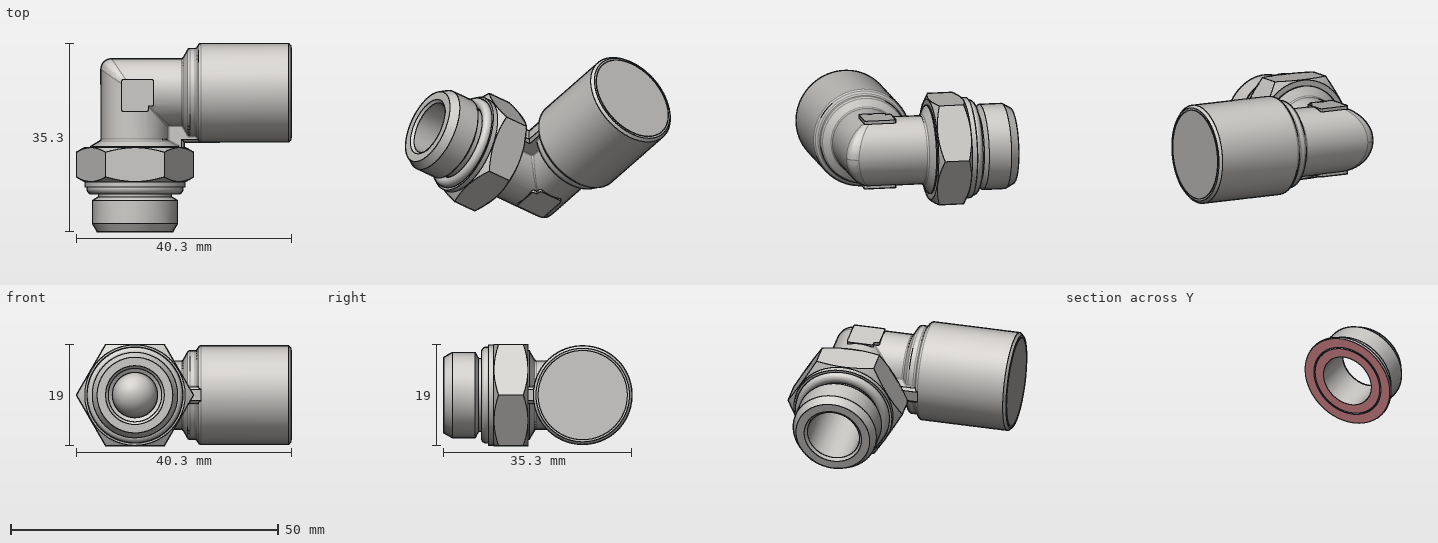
import cadquery as cq
import math


FACE_ANGLE = math.radians(30)

LEG_R = 6.4
FLARE_R = 8.3
FLARE_START = 8.9
FLARE_END = FLARE_START + (FLARE_R - LEG_R) * math.tan(FACE_ANGLE)
FLARE_FOOT_FILLET = 0.4
OUTER_CORNER_FILLET = 2.0
INNER_CORNER_FILLET = 0.3

SLEEVE_R = 9.25
SLEEVE_START = 12.05
SHOULDER_START = SLEEVE_START - (SLEEVE_R - FLARE_R) * math.tan(FACE_ANGLE)
SHOULDER_FILLET = 0.5
SLEEVE_CHAMFER = 0.5
LIP_R = 8.35
LIP_HEIGHT = 0.08
SOCKET_REACH = 29.3
SLEEVE_END = SOCKET_REACH - LIP_HEIGHT

HEX_FLATS = 19.0
HEX_CORNERS = HEX_FLATS / math.cos(math.pi / 6)
HEX_START = 10.2
HEX_END = 16.65
HEX_CHAMFER_R = 9.4

COLLAR_R = 9.4
COLLAR_END = 17.65
RING_SECTION_R = 1.0
RING_R = 8.0
RING_REACH = 17.97
NECK_R = 6.85
NECK_END = 19.45
THREAD_R = 8.0
THREAD_START = 20.15
LEAD_IN_LENGTH = 1.6
LEAD_IN_R = THREAD_R - LEAD_IN_LENGTH * math.tan(FACE_ANGLE)
STUD_REACH = 26.0

BORE_R = 5.0
BORE_CHAMFER = 0.5
BALL_R = 4.25
SEAT_REACH = HEX_START
SEAT_DEPTH = (BORE_R - BALL_R) * math.tan(FACE_ANGLE)

PAD_HALF_WIDTH = 2.5
PAD_LENGTH = 6.0
PAD_Z = 6.5
PAD_CORNER_R = 0.4
PAD_CORE = 4.0

WEB_HALF_THICKNESS = 1.55
WEB_CHAMFER = 0.5
WEB_FOOT_FILLET = 0.15
WEB_ROOT = (LEG_R + BORE_R) / 2
WEB_HEX_END = HEX_START + 1.0
WEB_END = SLEEVE_START + SHOULDER_FILLET * math.tan(FACE_ANGLE)


def turned(profile, rounds, axis):
    """Solid of revolution about an axis through the origin; rounds lists (corner, radius) pairs."""
    sketch = cq.Sketch().polygon(profile + profile[:1])
    for (x, y), radius in rounds:
        sketch = sketch.vertices(cq.NearestToPointSelector((x, y, 0))).fillet(radius).reset()
    return cq.Workplane("XY").placeSketch(sketch).revolve(360, (0, 0, 0), axis)


def socket_leg():
    """Leg, flare and sleeve turned about the X axis."""
    profile = [
        (-LEG_R, 0),
        (-LEG_R, LEG_R),
        (FLARE_START, LEG_R),
        (FLARE_END, FLARE_R),
        (SHOULDER_START, FLARE_R),
        (SLEEVE_START, SLEEVE_R),
        (SLEEVE_END - SLEEVE_CHAMFER, SLEEVE_R),
        (SLEEVE_END, SLEEVE_R - SLEEVE_CHAMFER),
        (SLEEVE_END, LIP_R),
        (SOCKET_REACH, LIP_R),
        (SOCKET_REACH, 0),
    ]
    rounds = [
        ((FLARE_START, LEG_R), FLARE_FOOT_FILLET),
        ((FLARE_END, FLARE_R), SHOULDER_FILLET),
        ((SHOULDER_START, FLARE_R), SHOULDER_FILLET),
        ((SLEEVE_START, SLEEVE_R), SHOULDER_FILLET),
    ]
    return turned(profile, rounds, (1, 0, 0))


def stud_leg():
    """Leg, flare, collar, neck and thread turned about the Y axis, with the hexagon and ring."""
    profile = [
        (0, LEG_R),
        (LEG_R, LEG_R),
        (LEG_R, -FLARE_START),
        (FLARE_R, -FLARE_END),
        (FLARE_R, -HEX_END),
        (COLLAR_R, -HEX_END),
        (COLLAR_R, -COLLAR_END),
        (NECK_R, -COLLAR_END),
        (NECK_R, -NECK_END),
        (THREAD_R, -THREAD_START),
        (THREAD_R, LEAD_IN_LENGTH - STUD_REACH),
        (LEAD_IN_R, -STUD_REACH),
        (0, -STUD_REACH),
    ]
    leg = turned(profile, [((LEG_R, -FLARE_START), FLARE_FOOT_FILLET)], (0, 1, 0))
    return leg.union(hexagon()).union(sealing_ring())


def hexagon():
    """Hexagon with corners on the X axis, both ends chamfered by a cone."""
    length = HEX_END - HEX_START
    prism = cq.Workplane("XZ", origin=(0, -HEX_START, 0)).polygon(6, HEX_CORNERS).extrude(length)
    corner_r = HEX_CORNERS / 2
    drop = (corner_r - HEX_CHAMFER_R) * math.tan(FACE_ANGLE)
    envelope_profile = [
        (0, -HEX_START),
        (HEX_CHAMFER_R, -HEX_START),
        (corner_r, -HEX_START - drop),
        (corner_r, -HEX_END + drop),
        (HEX_CHAMFER_R, -HEX_END),
        (0, -HEX_END),
    ]
    envelope = turned(envelope_profile, [], (0, 1, 0))
    return prism.intersect(envelope)


def sealing_ring():
    """Round-section ring seated against the collar."""
    plane = cq.Plane(origin=(RING_R, -RING_REACH, 0), xDir=(-1, 0, 0), normal=(0, 0, 1))
    section = cq.Workplane(plane).circle(RING_SECTION_R)
    return section.revolve(360, (RING_R, 0, 0), (RING_R, 1, 0))


def box_selector(low, high):
    """Selector for edges lying wholly inside a box that is grown by a small margin."""
    margin = 0.01
    grown_low = tuple(value - margin for value in low)
    grown_high = tuple(value + margin for value in high)
    return cq.selectors.BoxSelector(grown_low, grown_high, boundingbox=True)


def mitre_side(sign):
    """Half space on one side of the diagonal mitre plane: +1 holds the socket, -1 the stud."""
    size = 2 * SOCKET_REACH
    corners = [(-size, size), (size, -size), (sign * size, sign * size)]
    return cq.Workplane("XY").polyline(corners).close().extrude(size, both=True)


def pads():
    """Through block whose flat ends stand proud of the elbow, L-shaped at the inside corner."""
    long_side = PAD_LENGTH - PAD_HALF_WIDTH
    shift = (long_side - PAD_HALF_WIDTH) / 2
    width = 2 * PAD_HALF_WIDTH
    block = cq.Workplane("XY").center(shift, 0).rect(PAD_LENGTH, width).extrude(PAD_Z, both=True)
    block = block.edges("|Z").fillet(PAD_CORNER_R)
    other = cq.Workplane("XY").center(0, -shift).rect(width, PAD_LENGTH).extrude(PAD_Z, both=True)
    other = other.edges("|Z").fillet(PAD_CORNER_R)
    return block.union(other)


def web():
    """Stiffening web in the inside corner, chamfered along its two free sides."""
    outline = [
        (WEB_ROOT, -WEB_ROOT),
        (WEB_ROOT, -WEB_HEX_END),
        (SLEEVE_R, -WEB_HEX_END),
        (SLEEVE_R, -SLEEVE_R),
        (WEB_END, -SLEEVE_R),
        (WEB_END, -WEB_ROOT),
    ]
    plate = cq.Workplane("XY").polyline(outline).close().extrude(WEB_HALF_THICKNESS, both=True)
    low = (SLEEVE_R, -WEB_HEX_END, -WEB_HALF_THICKNESS)
    high = (WEB_END, -SLEEVE_R, WEB_HALF_THICKNESS)
    free_sides = box_selector(low, high)
    return plate.edges(free_sides).edges("#Z").chamfer(WEB_CHAMFER)


def stud_bore():
    """Blind bore with a chamfered mouth; its end is a seat cone around a domed ball."""
    profile = [
        (0, -SEAT_REACH),
        (BALL_R, -SEAT_REACH),
        (BORE_R, -SEAT_REACH - SEAT_DEPTH),
        (BORE_R, BORE_CHAMFER - STUD_REACH),
        (BORE_R + BORE_CHAMFER, -STUD_REACH),
        (0, -STUD_REACH),
    ]
    hole = turned(profile, [], (0, 1, 0))
    ball = cq.Workplane("XY", origin=(0, -SEAT_REACH, 0)).sphere(BALL_R)
    return hole.cut(ball)


def mitred_elbow():
    """The two legs joined at the mitre plane, with the outside and inside corners rounded."""
    socket = socket_leg().intersect(mitre_side(1))
    stud = stud_leg().cut(stud_bore()).intersect(mitre_side(-1))
    core = cq.Workplane("XY").rect(PAD_CORE, PAD_CORE).extrude(PAD_Z, both=True)
    elbow = socket.union(stud).union(core)
    near = PAD_CORE / 4
    outside = box_selector((-LEG_R, near, -LEG_R), (-near, LEG_R, LEG_R))
    inside = box_selector((near, -LEG_R, -LEG_R), (LEG_R, -near, LEG_R))
    elbow = elbow.edges(outside).edges("%ELLIPSE").fillet(OUTER_CORNER_FILLET)
    return elbow.edges(inside).edges("%ELLIPSE").fillet(INNER_CORNER_FILLET)


def round_web_foot(body):
    """Round the edges where the flat sides of the web run into the legs and flares."""
    free_line = SLEEVE_R - WEB_CHAMFER
    for z in (-WEB_HALF_THICKNESS, WEB_HALF_THICKNESS):
        foot = box_selector((0, -HEX_START, z), (WEB_END, 0, z))
        stud_free = box_selector((free_line, -HEX_START, z), (free_line, -free_line, z))
        socket_free = box_selector((free_line, -free_line, z), (WEB_END, -free_line, z))
        hex_foot = box_selector((FLARE_R - 1, -HEX_START, z), (free_line, -HEX_START, z))
        body = body.edges(foot - stud_free - socket_free - hex_foot).fillet(WEB_FOOT_FILLET)
    return body


result = round_web_foot(mitred_elbow().union(pads()).union(web()))